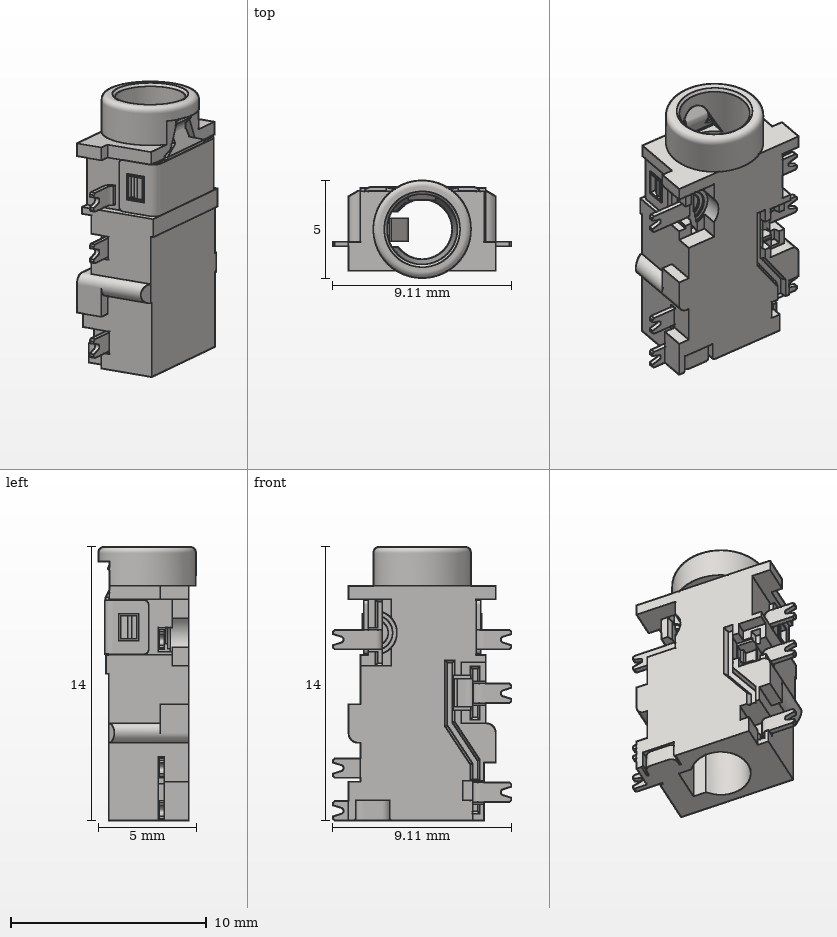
import cadquery as cq
import math

height = 14.0
sleeve_dia = 5.0
sleeve_rounding = 0.31
bore_dia = 3.6
bore_chamfer = 0.14
socket_dia = 3.05

flange_top = 12.0
flange_bottom = 11.31
flange_half_width = 3.77
flange_back = 1.93

front = -2.13
back = 1.97
side_step = -0.66
rear_half_width = 3.16
left = -rear_half_width
lower_right = rear_half_width
right = 3.26
shoulder = 8.47
neck_half_width = 2.76
back_rib_y = 2.11
back_rib_bottom = 7.5

lug_round = 0.5
lug_axis_x = flange_half_width - lug_round
lug_axis_z = 4.48
lug_top = lug_axis_z + lug_round
left_lug_top = 5.96
right_lug_bottom = 2.97
foot_height = 2.0
lug_back_at_side = 1.68

sheet = 0.25
pin_front = -0.88
pin_back = pin_front + sheet
pin_slot_back = -0.56
overall_width = 9.11
pin_reach = overall_width / 2
pin_height = 1.01
pin_clearance = 0.11
left_pin_bottoms = (8.75, 2.18, 0.0)
right_pin_bottoms = (8.75, 6.0, 0.95)

shell_half_width = 3.0
shell_front = -0.07
shell_back = 2.17
shell_bottom = 8.51
shell_top = 11.27

groove_width = 0.5
groove_depth = 0.28
outer_groove_left = 2.45
groove_flare = (groove_width - sheet) / 2
outer_strip_left = outer_groove_left + groove_flare
groove_taper = math.degrees(math.atan(groove_flare / groove_depth))


def block(x0, x1, y0, y1, z0, z1):
    """Box between two corners."""
    return cq.Workplane("XY").box(x1 - x0, y1 - y0, z1 - z0, centered=False).translate((x0, y0, z0))


def rod_along_y(x, z, radius, y0, y1):
    """Cylinder parallel to Y."""
    return cq.Workplane("XZ", origin=(x, y0, z)).circle(radius).extrude(y0 - y1)


def facing_front(y):
    """Sketch plane parallel to the front face; extrusion runs toward +Y when negative."""
    return cq.Workplane("XZ", origin=(0, y, 0))


def housing_body():
    body = block(left, lower_right, front, back, 0, shoulder)
    body = body.union(block(lower_right, right, front, back, lug_axis_z, shoulder))
    body = body.union(block(left, right, 0, back_rib_y, back_rib_bottom, shoulder))
    body = body.union(block(-neck_half_width, neck_half_width, front, back, shoulder, flange_bottom))
    wide_flange = block(-flange_half_width, flange_half_width, front, side_step, flange_bottom, flange_top)
    rear_flange = block(left, lower_right, side_step, flange_back, flange_bottom, flange_top)
    foot = block(-flange_half_width, left, front, pin_front, 0, foot_height)
    return body.union(wide_flange).union(rear_flange).union(foot)


def side_lugs():
    """Half-round ribs along both sides, each with a square block at its front end."""
    ribs = cq.Workplane("XY")
    for side in (-1, 1):
        rib = (
            facing_front(front)
            .moveTo(side * neck_half_width, lug_axis_z - lug_round)
            .lineTo(side * lug_axis_x, lug_axis_z - lug_round)
            .threePointArc((side * flange_half_width, lug_axis_z), (side * lug_axis_x, lug_top))
            .lineTo(side * neck_half_width, lug_top)
            .close()
            .extrude(front - back)
        )
        slant = (
            cq.Workplane("XY")
            .moveTo(side * flange_half_width, lug_back_at_side)
            .lineTo(side * lug_axis_x, back)
            .lineTo(side * flange_half_width, back)
            .close()
            .extrude(lug_top)
        )
        ribs = ribs.union(rib.cut(slant))
    left_block = block(-flange_half_width, left, front, side_step, lug_axis_z, left_lug_top)
    right_block = block(
        neck_half_width, flange_half_width, front, side_step, right_lug_bottom, lug_axis_z
    )
    return ribs.union(left_block).union(right_block)


def sleeve():
    ring = cq.Workplane("XY", origin=(0, 0, flange_top)).circle(sleeve_dia / 2).extrude(height - flange_top)
    ring = ring.faces(">Z").edges().fillet(sleeve_rounding)
    back_flat_top = 13.25
    back_flat = block(-sleeve_dia, sleeve_dia, flange_back, sleeve_dia, 0, back_flat_top)
    return ring.cut(back_flat)


def bores():
    """Sleeve bore, plug socket and the contact channel beside it."""
    sleeve_bore = cq.Workplane("XY").circle(bore_dia / 2).extrude(height - flange_bottom)
    sleeve_bore = sleeve_bore.translate((0, 0, flange_bottom))
    mouth = (
        cq.Workplane("XY", origin=(0, 0, height))
        .circle(bore_dia / 2 + bore_chamfer)
        .workplane(offset=-bore_chamfer)
        .circle(bore_dia / 2)
        .loft()
    )
    socket = cq.Workplane("XY").circle(socket_dia / 2).extrude(height)
    lead_in_depth = 8.4
    lead_in = (
        cq.Workplane("XY", origin=(0, 0, flange_bottom))
        .circle(bore_dia / 2)
        .workplane(offset=-lead_in_depth)
        .circle(socket_dia / 2)
        .loft()
    )
    channel_left = -1.96
    channel_corner = -1.26
    channel_half = 0.9
    channel_flare_x = -0.84
    channel_flare_half = 1.27
    channel = (
        cq.Workplane("XY")
        .polyline([
            (channel_left, -channel_half),
            (channel_corner, -channel_half),
            (channel_flare_x, -channel_flare_half),
            (channel_flare_x, channel_flare_half),
            (channel_corner, channel_half),
            (channel_left, channel_half),
        ])
        .close()
        .extrude(flange_bottom)
    )
    return sleeve_bore.union(mouth).union(lead_in).union(socket).union(channel)


def rear_window():
    """Opening through the rear wall of sleeve and flange, wide at the bottom with a round top."""
    arch_half_width = 0.67
    arch_spring_z = 12.77
    arch_top_z = 13.17
    base_half_width = 1.36
    depth = 1.12
    return (
        facing_front(flange_back - depth)
        .moveTo(-base_half_width, flange_bottom)
        .lineTo(-arch_half_width, arch_spring_z)
        .threePointArc((0, arch_top_z), (arch_half_width, arch_spring_z))
        .lineTo(base_half_width, flange_bottom)
        .close()
        .extrude(-depth)
    )


def tapered_groove(points, face_y):
    """Groove in the plane y = face_y whose walls close in on the contact strip."""
    return facing_front(face_y).polyline(points).close().extrude(-groove_depth, taper=groove_taper)


def rectangle_points(x0, x1, z0, z1):
    return [(x0, z0), (x1, z0), (x1, z1), (x0, z1)]


def upper_left_recess():
    """Corner pocket below the flange with a stepped round relief, a strip groove and a pin notch."""
    inner_x = -1.57
    floor_y = -1.29
    bottom = 7.92
    pocket = block(-flange_half_width, inner_x, front, floor_y, bottom, flange_bottom)
    groove_left = -2.4
    strip_right = -2.03
    flared_mouth = tapered_groove(
        rectangle_points(groove_left, groove_left + groove_width, bottom, flange_bottom), floor_y
    ).intersect(block(groove_left, strip_right, floor_y, pin_slot_back, bottom, flange_bottom))
    strip_slot = block(
        groove_left + groove_flare, strip_right, floor_y, pin_slot_back,
        bottom + groove_flare, flange_bottom - groove_flare,
    )
    groove = flared_mouth.union(strip_slot)
    relief_x = -2.41
    relief_z = 9.6
    relief_radius = 1.12
    relief_step = 0.11
    relief = cq.Workplane("XY")
    for step in (1, 2, 3):
        radius = relief_radius - 2 * relief_step * (step - 1)
        relief = relief.union(rod_along_y(relief_x, relief_z, radius, front, floor_y + step * relief_step))
    relief = relief.intersect(block(strip_right, 0, front, 0, bottom, flange_bottom))
    pin_bottom = left_pin_bottoms[0]
    notch = block(
        -flange_half_width, strip_right, floor_y, pin_slot_back,
        pin_bottom - pin_clearance, pin_bottom + pin_height + pin_clearance,
    )
    return pocket.union(groove).union(relief).union(notch)


def right_recess():
    """Shallow side pocket with a strip groove, a pin notch and a window to the inner contact."""
    inner_x = 1.99
    floor_y = -1.57
    top = 8.1
    bottom = lug_top
    pocket = block(inner_x, flange_half_width, front, floor_y, bottom, top)
    groove_bottom = 5.15
    groove_top = 7.88
    groove = tapered_groove(
        rectangle_points(outer_groove_left, outer_groove_left + groove_width, groove_bottom, groove_top),
        floor_y,
    )
    pin_bottom = right_pin_bottoms[1]
    notch = block(
        outer_strip_left, flange_half_width, floor_y, pin_slot_back,
        pin_bottom - pin_clearance, pin_bottom + pin_height + pin_clearance,
    )
    window_left = 1.6
    window_bottom = 5.64
    window_top = 7.43
    window_setback = 0.08
    window = block(window_left, outer_strip_left, front, floor_y + window_setback, window_bottom, window_top)
    lip = 0.18
    well_back = -0.84
    step_left = 1.64
    step_right = 1.79
    step_back = -1.12
    well = block(step_right, outer_strip_left, floor_y, well_back, window_bottom + lip, window_top - lip)
    step = block(step_left, step_right, floor_y, step_back, window_bottom + lip, window_top - lip)
    cove_radius = 0.39
    cove_x = outer_strip_left - cove_radius
    cove_y = well_back - cove_radius
    cove_mid = cove_radius * math.sqrt(0.5)
    cove = (
        cq.Workplane("XY", origin=(0, 0, window_bottom))
        .moveTo(cove_x, well_back)
        .threePointArc((cove_x + cove_mid, cove_y + cove_mid), (outer_strip_left, cove_y))
        .lineTo(outer_strip_left, well_back)
        .close()
        .extrude(window_top - window_bottom)
    )
    return pocket.union(groove).union(notch).union(window).union(step).union(well.cut(cove))


def cranked_groove():
    """Strip groove that steps outward from the middle of the face to the lower right edge."""
    upper_left = 1.16
    upper_right = upper_left + groove_width
    lower_left = outer_groove_left
    lower_right_edge = lower_left + groove_width
    top = 8.2
    slant_top = 4.83
    slant_bottom = 2.88
    miter = 0.22
    return tapered_groove([
        (upper_left, top),
        (upper_left, slant_top),
        (lower_left, slant_bottom),
        (lower_left, foot_height),
        (lower_right_edge, foot_height),
        (lower_right_edge, slant_bottom + miter),
        (upper_right, slant_top + miter),
        (upper_right, top),
    ], front)


def lower_right_recess():
    """Rebate on the lower right edge and the deeper notch where the lowest pin bends out."""
    rebate_left = outer_strip_left
    rebate_floor = -1.04
    notch_top = 2.05
    notch_bottom = 1.04
    notch_left = 2.07
    rebate = block(rebate_left, lower_right, front, rebate_floor, 0, notch_top)
    notch = block(notch_left, lower_right, front, pin_slot_back, notch_bottom, notch_top)
    pin_bottom = right_pin_bottoms[2]
    pin_notch = block(rebate_left, lower_right, front, pin_slot_back, pin_bottom - pin_clearance, notch_top)
    groove_bottom = 0.36
    groove = tapered_groove(
        rectangle_points(outer_groove_left, outer_groove_left + groove_width, groove_bottom, notch_top),
        rebate_floor,
    )
    return rebate.union(notch).union(pin_notch).union(groove)


def bottom_notch():
    """Notch in the lower front edge, filled by a pad with rounded sides."""
    notch_left = -3.4
    notch_right = -1.65
    notch_top = 1.04
    depth = 0.7
    pad_setback = 0.11
    pad_round = 0.39
    edge_chamfer = 0.08
    notch = block(notch_left, notch_right, front, front + depth, 0, notch_top)
    flare = (
        cq.Workplane("XZ", origin=(0, front, 0))
        .moveTo(notch_left - edge_chamfer, 0)
        .lineTo(notch_left, edge_chamfer)
        .lineTo(notch_right, edge_chamfer)
        .lineTo(notch_right + edge_chamfer, 0)
        .close()
        .extrude(-depth)
    )
    pad = block(notch_left, notch_right, front + pad_setback, front + depth, 0, notch_top)
    pad = pad.edges("|Z and <Y").fillet(pad_round)
    return notch.union(flare).cut(pad)


def left_pin_slot():
    """Shallow slot in the left side around the two lower pins, deeper just above the foot."""
    slot_top = 3.26
    slot_depth = 0.14
    gap_depth = 0.56
    gap_bottom = foot_height - pin_clearance
    gap_top = left_pin_bottoms[1]
    shallow = block(-flange_half_width, left + slot_depth, pin_front, pin_slot_back, 0, slot_top)
    gap = block(left, left + gap_depth, pin_front, pin_slot_back, gap_bottom, gap_top)
    return shallow.union(gap)


def pin(side, root_x, bend, bottom):
    """Forked solder pin pointing to -X (side -1) or +X (side +1), bent inward to +Y at its root."""
    corner = 0.1
    fork_half = 0.28
    throat_x = pin_reach - 0.39
    throat_half = 0.15
    fork_depth = 0.53
    half = pin_height / 2
    outline = (
        facing_front(pin_front)
        .moveTo(root_x, -half)
        .lineTo(pin_reach - corner, -half)
        .lineTo(pin_reach, corner - half)
        .lineTo(pin_reach, -fork_half)
        .lineTo(throat_x, -throat_half)
        .threePointArc((pin_reach - fork_depth, 0), (throat_x, throat_half))
        .lineTo(pin_reach, fork_half)
        .lineTo(pin_reach, half - corner)
        .lineTo(pin_reach - corner, half)
        .lineTo(root_x, half)
        .close()
        .extrude(-bend)
    )
    bent_sheet = (
        cq.Workplane("XY", origin=(0, 0, -half))
        .moveTo(pin_reach, pin_front)
        .lineTo(root_x + bend, pin_front)
        .radiusArc((root_x, pin_front + bend), bend)
        .lineTo(root_x + sheet, pin_front + bend)
        .radiusArc((root_x + bend, pin_back), sheet - bend)
        .lineTo(pin_reach, pin_back)
        .close()
        .extrude(pin_height)
    )
    blade = outline.intersect(bent_sheet)
    if side < 0:
        blade = blade.mirror("YZ")
    return blade.translate((0, 0, bottom + half))


def pins():
    root_overlap = 0.04
    left_roots = (2.03, 2.24, 2.24)
    right_roots = (neck_half_width - root_overlap, outer_strip_left, outer_strip_left)
    left_bend = 0.32
    right_bends = (0.45, 0.5, 0.4)
    blades = cq.Workplane("XY")
    for root_x, bottom in zip(left_roots, left_pin_bottoms):
        blades = blades.union(pin(-1, root_x, left_bend, bottom))
    for root_x, bend, bottom in zip(right_roots, right_bends, right_pin_bottoms):
        blades = blades.union(pin(1, root_x, bend, bottom))
    return blades


def shell():
    """Sheet-metal clip wrapped around the rear of the neck."""
    bend = 0.42
    corner = 0.22
    clip = block(-shell_half_width, shell_half_width, shell_front, shell_back, shell_bottom, shell_top)
    clip = clip.edges("|Z and >Y").fillet(bend)
    clip = clip.edges("|X and <Y").fillet(corner)
    inside = block(-neck_half_width, neck_half_width, shell_front, back, shell_bottom, shell_top)
    return clip.cut(inside)


catch_y = (0.43, 1.44)
catch_z = (9.2, 10.57)
catch_frame = 0.091
catch_rise = 0.05


def catch_frames():
    """Raised frames around the catch windows on both sides of the clip."""
    frames = cq.Workplane("XY")
    outer = shell_half_width + catch_rise
    for x0, x1 in ((-outer, -neck_half_width), (neck_half_width, outer)):
        frames = frames.union(block(x0, x1, *catch_y, *catch_z))
    return frames


def catch_windows():
    """Openings inside the frames: a step in front, a bar across the middle and a ramp behind it."""
    outer = shell_half_width + catch_rise
    y0 = catch_y[0] + catch_frame
    y1 = catch_y[1] - catch_frame
    z0 = catch_z[0] + catch_frame
    z1 = catch_z[1] - catch_frame
    bar_front = 0.8
    bar_back = 0.98
    bar_setback = 0.07
    bar_x = shell_half_width - bar_setback
    window = (
        cq.Workplane("XY", origin=(0, 0, z0))
        .moveTo(outer, y0)
        .lineTo(neck_half_width, y0)
        .lineTo(neck_half_width, bar_front)
        .lineTo(bar_x, bar_front)
        .lineTo(bar_x, bar_back)
        .lineTo(neck_half_width, y1)
        .lineTo(outer, y1)
        .close()
        .extrude(z1 - z0)
    )
    return window.union(window.mirror("YZ"))


def rear_spring():
    """Tongue that rises from the clip, narrows and bows into the sleeve bore with a round nose."""
    root_z = 11.06
    root_top_z = 11.41
    root_half_width = 1.85
    taper_end_z = 11.83
    nose_half_width = 0.7
    nose_y = 1.48
    nose_z = 12.4
    nose_half_height = 0.22
    tip_y = 1.96
    tip_z = 13.02
    thickness = 0.17
    inner_arc_sag = 0.08
    outer_arc_sag = 0.04
    outer_half_height = 0.14
    root_lean = 0.04
    tip_cut_y = 0.05
    tip_cut_z = 0.14
    bent_strip = (
        cq.Workplane("YZ", origin=(-root_half_width, 0, 0))
        .moveTo(flange_back, root_z)
        .lineTo(flange_back, root_top_z)
        .lineTo(nose_y + inner_arc_sag, nose_z - nose_half_height)
        .threePointArc(
            (nose_y, nose_z), (nose_y + inner_arc_sag, nose_z + nose_half_height)
        )
        .lineTo(tip_y, tip_z)
        .lineTo(tip_y + tip_cut_y, tip_z - tip_cut_z)
        .lineTo(nose_y + thickness + outer_arc_sag, nose_z + outer_half_height)
        .threePointArc(
            (nose_y + thickness, nose_z),
            (nose_y + thickness + outer_arc_sag, nose_z - outer_half_height),
        )
        .lineTo(shell_back - root_lean, root_top_z)
        .lineTo(shell_back, root_z)
        .close()
        .extrude(2 * root_half_width)
    )
    outline = (
        facing_front(0)
        .polyline([
            (-root_half_width, root_z),
            (root_half_width, root_z),
            (root_half_width, root_top_z),
            (nose_half_width, taper_end_z),
            (nose_half_width, tip_z),
            (-nose_half_width, tip_z),
            (-nose_half_width, taper_end_z),
            (-root_half_width, root_top_z),
        ])
        .close()
        .extrude(-shell_back)
    )
    return bent_strip.intersect(outline)


def side_spring():
    """Bowed contact that reaches from the channel into the socket."""
    spring_front = -0.62
    spring_back = 0.57
    foot_x = -2.1
    nose_x = -0.7
    tip_x = -1.68
    tip_z = 10.36
    thickness = 0.11
    profile = [
        (foot_x, 7.28),
        (nose_x, 8.54),
        (nose_x - 0.13, 8.96),
        (tip_x + thickness, tip_z),
        (tip_x, tip_z),
        (nose_x - 0.28, 8.68),
        (foot_x, 7.63),
    ]
    return facing_front(spring_front).polyline(profile).close().extrude(spring_front - spring_back)


result = housing_body().union(side_lugs()).union(sleeve())
for recess in (
    rear_window(),
    upper_left_recess(),
    right_recess(),
    cranked_groove(),
    lower_right_recess(),
    bottom_notch(),
    left_pin_slot(),
    bores(),
):
    result = result.cut(recess)
result = result.union(shell()).union(catch_frames()).cut(catch_windows())
result = result.union(rear_spring()).union(side_spring()).union(pins())